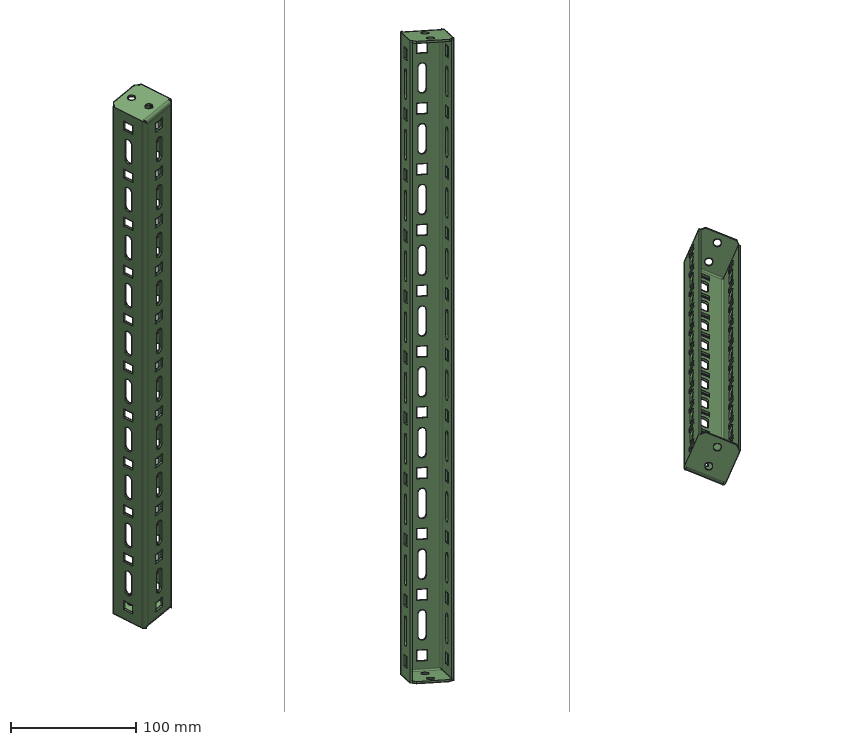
import cadquery as cq

length = 529.0
side = 36.0

sheet = 1.8
bend_radius = 3.0
lip = 3.0
lip_chamfer = 2.5

square_count = 11
end_margin = 14.5
square_size = 9.0
slot_length = 25.0
slot_width = 7.0
side_row_x = 0.5
pitch = (length - 2 * end_margin) / (square_count - 1)

plate_hole_diameter = 6.5
plate_hole_positions = [(-10.0, 0), (7.5, 0)]

half = side / 2
inner_width = side - 2 * sheet


def block(width, height, x_end, rounded_edges, radius):
    """Block from the open -X side to x_end, with two of its +X edges rounded."""
    return (
        cq.Workplane("XY", origin=((x_end - half) / 2, 0, length / 2))
        .box(x_end + half, width, height)
        .edges(rounded_edges)
        .fillet(radius)
    )


def make_side_walls(envelope):
    """Two full-height side walls with the vertical folds that join them to the web."""
    core = block(inner_width, length, half - sheet, "|Z and >X", bend_radius - sheet)
    lip_gap = cq.Workplane("XY").box(lip, side, length, centered=False).translate((-half, -half, 0))
    return envelope.cut(core).cut(lip_gap)


def make_web_and_end_plates(envelope):
    """Web folded over at both ends into plates that fit between the side walls."""
    outer = block(inner_width, length, half, "|Y and >X", bend_radius)
    outer = outer.edges("|Z and <X").chamfer(lip_chamfer)
    core = block(side, length - 2 * sheet, half - sheet, "|Y and >X", bend_radius - sheet)
    return outer.cut(core).intersect(envelope)


def make_fold_relief():
    """Material outside the rounded end folds, over the width between the side walls."""
    square_ended = cq.Workplane("XY", origin=(0, 0, length / 2)).box(side, inner_width, length)
    round_ended = block(inner_width, length, half, "|Y and >X", bend_radius)
    return square_ended.cut(round_ended)


def make_perforation(plane):
    """Cutters for one row of alternating squares and slots along Z."""
    square_centres = [(0, end_margin + i * pitch) for i in range(square_count)]
    slot_centres = [(0, z + pitch / 2) for _, z in square_centres[:-1]]
    squares = plane.pushPoints(square_centres).rect(square_size, square_size).extrude(side, both=True)
    slots = plane.pushPoints(slot_centres).slot2D(slot_length, slot_width, 90).extrude(side, both=True)
    return squares.union(slots)


envelope = block(side, length, half, "|Z and >X", bend_radius)
body = make_side_walls(envelope).cut(make_fold_relief()).union(make_web_and_end_plates(envelope))

side_row = make_perforation(cq.Workplane("XZ", origin=(side_row_x, 0, 0)))
web_row = make_perforation(cq.Workplane("YZ"))
plate_holes = (
    cq.Workplane("XY")
    .pushPoints(plate_hole_positions)
    .circle(plate_hole_diameter / 2)
    .extrude(length)
)

result = body.cut(side_row).cut(web_row).cut(plate_holes)